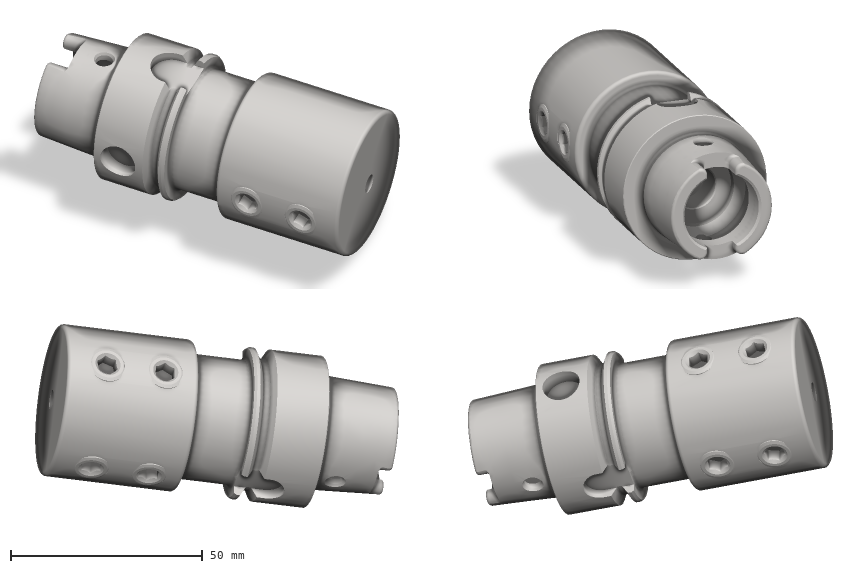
import cadquery as cq
import math


NOSE_X = -19.9
BODY_START_X = 35.0
BODY_END_X = 70.0

NOSE_RADIUS = 14.05
TAPER_END_X = -1.85
TAPER_END_RADIUS = 15.02
NOSE_EDGE_FILLET = 0.7

UNDERCUT_RADIUS = 14.8
UNDERCUT_SLOPE_END_X = -1.05
UNDERCUT_FILLET = 0.6
UNDERCUT_FACE_DEPTH = 0.1
UNDERCUT_FACE_RADIUS = 16.3

FLANGE_RADIUS = 20.0
FLANGE_EDGE_CHAMFER = 0.2
GROOVE_START_X = 14.0
GROOVE_END_X = 18.5
GROOVE_BOTTOM_RADIUS = 17.4
GROOVE_FLANK_ANGLE = 30.0
GROOVE_FILLET = 0.4
FLANGE_END_X = 20.1
FLANGE_END_CHAMFER_LENGTH = 0.7
FLANGE_END_CHAMFER_DROP = 0.45

NECK_RADIUS = 16.45
NECK_FILLET = 0.8
BODY_RADIUS = 20.0
BODY_FILLET = 1.0

MOUTH_RADIUS = 11.0
MOUTH_CHAMFER_DEPTH = 0.5
SHANK_BORE_RADIUS = 10.4
CLAMP_RECESS_START_DEPTH = 7.8
CLAMP_RECESS_RADIUS = 12.4
CLAMP_RECESS_END_DEPTH = 15.5
INNER_BORE_RADIUS = 10.05
SHANK_FLOOR_DEPTH = 20.0
COOLANT_SEAT_RADIUS = 5.8
COOLANT_SEAT_CHAMFER = 0.3
COOLANT_SEAT_DEPTH = 8.0
COOLANT_RADIUS = 2.55

SLOT_HALF_WIDTH = 3.95
SLOT_LIP_RADIUS = 1.85
SLOT_LEDGE_Z = 12.65
SLOT_FLOOR_FILLET = 0.9
SLOT_MOUTH_FILLET = 0.9
TOP_SLOT_DEPTH = 6.1
BOTTOM_SLOT_DEPTH = 3.6

CROSS_HOLE_X = -6.0
CROSS_HOLE_RADIUS = 2.25
CROSS_HOLE_SINK_RADIUS = 2.75
CROSS_HOLE_SINK_Z = 14.75
CROSS_HOLE_SINK_HALF_ANGLE = 30.0

KEYWAY_START_X = 7.8
KEYWAY_FLOOR = 16.9
TOP_KEYWAY_HALF_WIDTH = 5.5
BOTTOM_KEYWAY_HALF_WIDTH = 4.5
CHIP_HOLE_X = 7.0
CHIP_HOLE_RADIUS = 5.0
CHIP_HOLE_DEPTH = 4.6

SCREW_X_AND_TWIST = [(43.9, 0.0), (59.35, 10.0)]
SCREW_ANGLES = [90.0, 180.0, 270.0]
SCREW_RADIUS = 5.05
SCREW_FACE_RADIUS = 4.2
SCREW_CHAMFER_HEIGHT = 0.35
SCREW_HOLE_MOUTH_RADIUS = 4.5
SCREW_LENGTH = 10.0
SOCKET_ACROSS_FLATS = 5.0
SOCKET_DEPTH = 4.0
SOCKET_SINK_RADIUS = 3.35

CLEAR = 10.0
EDGE_MARGIN = 0.05


def revolve_about_x(profile):
    return profile.close().revolve(360, (0, 0, 0), (1, 0, 0))


def outer_blank():
    flank_angle = math.radians(GROOVE_FLANK_ANGLE)
    flank_run = (FLANGE_RADIUS - GROOVE_BOTTOM_RADIUS) * math.tan(flank_angle)
    groove_left_x = GROOVE_START_X + flank_run
    groove_right_x = GROOVE_END_X - flank_run
    fillet_reach = GROOVE_FILLET * math.tan(math.pi / 4 - flank_angle / 2)
    fillet_shift = fillet_reach * math.sin(flank_angle)
    fillet_top = GROOVE_BOTTOM_RADIUS + fillet_reach * math.cos(flank_angle)
    blank = revolve_about_x(
        cq.Workplane("XY")
        .moveTo(NOSE_X, 0)
        .lineTo(NOSE_X, NOSE_RADIUS)
        .lineTo(TAPER_END_X, TAPER_END_RADIUS)
        .lineTo(UNDERCUT_SLOPE_END_X, UNDERCUT_RADIUS)
        .lineTo(UNDERCUT_FACE_DEPTH - UNDERCUT_FILLET, UNDERCUT_RADIUS)
        .radiusArc((UNDERCUT_FACE_DEPTH, UNDERCUT_RADIUS + UNDERCUT_FILLET), -UNDERCUT_FILLET)
        .lineTo(0, UNDERCUT_FACE_RADIUS)
        .lineTo(0, FLANGE_RADIUS - FLANGE_EDGE_CHAMFER)
        .lineTo(FLANGE_EDGE_CHAMFER, FLANGE_RADIUS)
        .lineTo(GROOVE_START_X, FLANGE_RADIUS)
        .lineTo(groove_left_x - fillet_shift, fillet_top)
        .radiusArc((groove_left_x + fillet_reach, GROOVE_BOTTOM_RADIUS), -GROOVE_FILLET)
        .lineTo(groove_right_x - fillet_reach, GROOVE_BOTTOM_RADIUS)
        .radiusArc((groove_right_x + fillet_shift, fillet_top), -GROOVE_FILLET)
        .lineTo(GROOVE_END_X, FLANGE_RADIUS)
        .lineTo(FLANGE_END_X - FLANGE_END_CHAMFER_LENGTH, FLANGE_RADIUS)
        .lineTo(FLANGE_END_X, FLANGE_RADIUS - FLANGE_END_CHAMFER_DROP)
        .lineTo(FLANGE_END_X, NECK_RADIUS + NECK_FILLET)
        .radiusArc((FLANGE_END_X + NECK_FILLET, NECK_RADIUS), -NECK_FILLET)
        .lineTo(BODY_START_X - NECK_FILLET, NECK_RADIUS)
        .radiusArc((BODY_START_X, NECK_RADIUS + NECK_FILLET), -NECK_FILLET)
        .lineTo(BODY_START_X, BODY_RADIUS - BODY_FILLET)
        .radiusArc((BODY_START_X + BODY_FILLET, BODY_RADIUS), BODY_FILLET)
        .lineTo(BODY_END_X - BODY_FILLET, BODY_RADIUS)
        .radiusArc((BODY_END_X, BODY_RADIUS - BODY_FILLET), BODY_FILLET)
        .lineTo(BODY_END_X, 0)
    )
    return blank.faces("<X").edges().fillet(NOSE_EDGE_FILLET)


def bore_cutter():
    recess_start_x = NOSE_X + CLAMP_RECESS_START_DEPTH
    recess_end_x = NOSE_X + CLAMP_RECESS_END_DEPTH
    closing_cone_run = CLAMP_RECESS_RADIUS - INNER_BORE_RADIUS
    floor_x = NOSE_X + SHANK_FLOOR_DEPTH
    seat_end_x = floor_x + COOLANT_SEAT_DEPTH
    return revolve_about_x(
        cq.Workplane("XY")
        .moveTo(NOSE_X, 0)
        .lineTo(NOSE_X, SHANK_BORE_RADIUS)
        .lineTo(recess_start_x, SHANK_BORE_RADIUS)
        .lineTo(recess_start_x, CLAMP_RECESS_RADIUS)
        .lineTo(recess_end_x, CLAMP_RECESS_RADIUS)
        .lineTo(recess_end_x + closing_cone_run, INNER_BORE_RADIUS)
        .lineTo(floor_x, INNER_BORE_RADIUS)
        .lineTo(floor_x, COOLANT_SEAT_RADIUS + COOLANT_SEAT_CHAMFER)
        .lineTo(floor_x + COOLANT_SEAT_CHAMFER, COOLANT_SEAT_RADIUS)
        .lineTo(seat_end_x, COOLANT_SEAT_RADIUS)
        .lineTo(seat_end_x, COOLANT_RADIUS)
        .lineTo(BODY_END_X, COOLANT_RADIUS)
        .lineTo(BODY_END_X, 0)
    )


def mouth_cutter():
    return revolve_about_x(
        cq.Workplane("XY")
        .moveTo(NOSE_X, 0)
        .lineTo(NOSE_X, MOUTH_RADIUS)
        .lineTo(NOSE_X + MOUTH_CHAMFER_DEPTH, SHANK_BORE_RADIUS)
        .lineTo(NOSE_X + MOUTH_CHAMFER_DEPTH, 0)
    )


def drive_slot_cutter(depth):
    """Slot on the +Z side of the nose; its walls roll outward over round lips onto a flat ledge.

    A slab in front of the nose lets the slot open through a rounded edge.
    """
    lip_start_z = SLOT_LEDGE_Z - SLOT_LIP_RADIUS
    ledge_start_y = SLOT_HALF_WIDTH + SLOT_LIP_RADIUS
    outer_y = ledge_start_y + CLEAR
    top_z = SLOT_LEDGE_Z + CLEAR
    slot = (
        cq.Workplane("YZ", origin=(NOSE_X - CLEAR, 0, 0))
        .moveTo(-SLOT_HALF_WIDTH, 0)
        .lineTo(SLOT_HALF_WIDTH, 0)
        .lineTo(SLOT_HALF_WIDTH, lip_start_z)
        .radiusArc((ledge_start_y, SLOT_LEDGE_Z), SLOT_LIP_RADIUS)
        .lineTo(outer_y, SLOT_LEDGE_Z)
        .lineTo(outer_y, top_z)
        .lineTo(-outer_y, top_z)
        .lineTo(-outer_y, SLOT_LEDGE_Z)
        .lineTo(-ledge_start_y, SLOT_LEDGE_Z)
        .radiusArc((-SLOT_HALF_WIDTH, lip_start_z), SLOT_LIP_RADIUS)
        .close()
        .extrude(CLEAR + depth)
        .faces(">X")
        .edges()
        .fillet(SLOT_FLOOR_FILLET)
    )
    slab = cq.Workplane("XY").box(CLEAR, 2 * outer_y, top_z, centered=(False, True, False))
    slab = slab.translate((NOSE_X - CLEAR, 0, 0))
    mouth_edges = cq.selectors.BoxSelector(
        (NOSE_X - EDGE_MARGIN, EDGE_MARGIN - outer_y, EDGE_MARGIN),
        (NOSE_X + EDGE_MARGIN, outer_y - EDGE_MARGIN, SLOT_LEDGE_Z + EDGE_MARGIN),
    )
    return slot.union(slab).edges(mouth_edges).fillet(SLOT_MOUTH_FILLET)


def turn_to_bottom(shape):
    return shape.rotate((0, 0, 0), (1, 0, 0), 180)


def cross_hole_cutter():
    """Hole along Z through both walls of the shank, countersunk on both outer ends."""
    drill = cq.Workplane("XY").circle(CROSS_HOLE_RADIUS).extrude(NECK_RADIUS, both=True)
    sink_step = CROSS_HOLE_SINK_RADIUS - CROSS_HOLE_RADIUS
    sink_height = sink_step / math.tan(math.radians(CROSS_HOLE_SINK_HALF_ANGLE))
    sink_start = cq.Vector(0, 0, CROSS_HOLE_SINK_Z - sink_height)
    sink_top_radius = CROSS_HOLE_RADIUS + 2 * sink_step
    sink_cone = cq.Solid.makeCone(CROSS_HOLE_RADIUS, sink_top_radius, 2 * sink_height, sink_start)
    upper_sink = cq.Workplane(sink_cone)
    cutter = drill.union(upper_sink).union(turn_to_bottom(upper_sink))
    return cutter.translate((CROSS_HOLE_X, 0, 0))


def keyway_cutter(half_width):
    """Keyway on the +Z side, round at its closed end and open through the end of the flange."""
    round_x = KEYWAY_START_X + half_width
    return (
        cq.Workplane("XY", origin=(0, 0, KEYWAY_FLOOR))
        .moveTo(round_x, half_width)
        .threePointArc((KEYWAY_START_X, 0), (round_x, -half_width))
        .lineTo(FLANGE_END_X + NECK_FILLET, -half_width)
        .lineTo(FLANGE_END_X + NECK_FILLET, half_width)
        .close()
        .extrude(CLEAR)
    )


def chip_hole_cutter():
    return (
        cq.Workplane("XZ", origin=(CHIP_HOLE_X, CHIP_HOLE_DEPTH - FLANGE_RADIUS, 0))
        .circle(CHIP_HOLE_RADIUS)
        .extrude(CHIP_HOLE_DEPTH + CLEAR)
    )


def screw_blank():
    """Screw without its socket, on the Z axis with its face at the radius of the clamping body."""
    return (
        cq.Workplane("XY", origin=(0, 0, BODY_RADIUS - SCREW_LENGTH))
        .circle(SCREW_RADIUS)
        .extrude(SCREW_LENGTH)
        .faces(">Z")
        .edges()
        .chamfer(SCREW_CHAMFER_HEIGHT, SCREW_RADIUS - SCREW_FACE_RADIUS)
    )


def socket_cutter():
    across_corners = SOCKET_ACROSS_FLATS / math.cos(math.radians(30))
    hexagon = (
        cq.Workplane("XY", origin=(0, 0, BODY_RADIUS - SOCKET_DEPTH))
        .polygon(6, across_corners)
        .extrude(SOCKET_DEPTH)
        .rotate((0, 0, 0), (0, 0, 1), 30)
    )
    sink_tip = cq.Vector(0, 0, BODY_RADIUS - SOCKET_SINK_RADIUS)
    sink = cq.Solid.makeCone(0, SOCKET_SINK_RADIUS, SOCKET_SINK_RADIUS, sink_tip)
    return hexagon.union(cq.Workplane(sink))


def screw_hole_cutter():
    """Hole that fits the screw, with a straight mouth where the body stands above the screw's chamfer."""
    mouth = (
        cq.Workplane("XY", origin=(0, 0, BODY_RADIUS - SCREW_CHAMFER_HEIGHT))
        .circle(SCREW_HOLE_MOUTH_RADIUS)
        .extrude(SCREW_CHAMFER_HEIGHT)
    )
    return screw_blank().union(mouth)


def place(shape, x, twist, angle):
    """Twist a +Z screw about its own axis, then move it along the tool axis and around it."""
    twisted = shape.rotate((0, 0, 0), (0, 0, 1), twist)
    return twisted.translate((x, 0, 0)).rotate((0, 0, 0), (1, 0, 0), angle)


screw_places = [(x, twist, angle) for angle in SCREW_ANGLES for x, twist in SCREW_X_AND_TWIST]


def make_holder():
    holder = outer_blank().cut(bore_cutter())
    holder = holder.cut(cross_hole_cutter())
    holder = holder.cut(drive_slot_cutter(TOP_SLOT_DEPTH))
    holder = holder.cut(turn_to_bottom(drive_slot_cutter(BOTTOM_SLOT_DEPTH)))
    holder = holder.cut(mouth_cutter())
    holder = holder.cut(keyway_cutter(TOP_KEYWAY_HALF_WIDTH))
    holder = holder.cut(turn_to_bottom(keyway_cutter(BOTTOM_KEYWAY_HALF_WIDTH)))
    holder = holder.cut(chip_hole_cutter())
    for spot in screw_places:
        holder = holder.cut(place(screw_hole_cutter(), *spot))
    return holder


holder = make_holder()
screw = screw_blank().cut(socket_cutter())
screws = [place(screw, *spot) for spot in screw_places]

result = cq.Compound.makeCompound([holder.val(), *[s.val() for s in screws]])